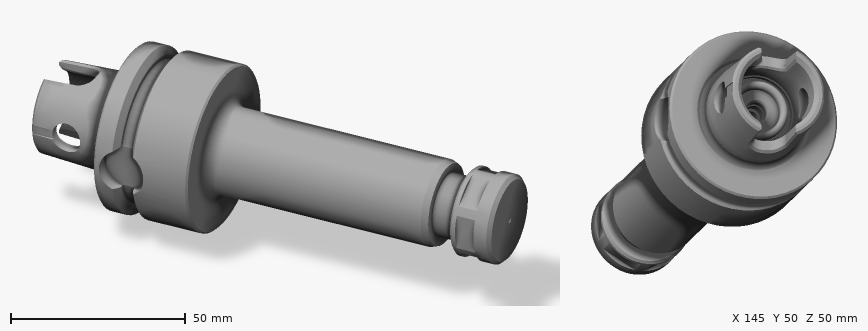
import cadquery as cq
import math

total_length = 145.0
through_bore_diameter = 1.7

shank_end_radius = 13.8
taper_slope = 0.05
shank_end_chamfer = 0.7
taper_end_x = 22.6
relief_radius = 14.8
relief_step = 0.3
relief_fillet = 1.5

flange_face_x = 25.0
flange_end_x = 54.7
flange_diameter = 50.0
flange_edge_chamfer = 0.6
face_recess_radius = 17.0
face_recess_depth = 0.5

groove_mouth_start_x = 30.6
groove_mouth_end_x = 37.3
groove_floor_width = 3.9
groove_floor_radius = 21.3
groove_wall_angle = 60.0

flat_diameter = 14.0
flat_distance = 20.3
flat_x = 33.8

neck_diameter = 26.0
neck_fillet = 2.9
neck_end_x = 125.0
neck_end_chamfer_length = 2.0
neck_end_chamfer_height = 0.7

spindle_diameter = 19.0

nut_start_x = 132.1
nut_radius = 13.3
nut_start_chamfer = 0.7
nut_end_chamfer = 1.2
nut_flat_start_x = 134.0
nut_flat_length = 5.8
nut_flat_width = 10.9
nut_flat_count = 6

cavity_radius = 10.9
cavity_depth = 21.9
cavity_mouth_chamfer = 1.2
inner_edge_chamfer = 0.6
floor_groove_outer_radius = 10.5
floor_groove_inner_radius = 9.4
floor_groove_depth = 1.5

tube_tip_x = 19.5
tube_outer_radius = 8.7
tube_inner_radius = 6.5
tube_floor_x = 21.9

coolant_steps = [(6.0, 2.9), (5.2, 5.8), (3.5, 8.7), (3.0, 11.6)]
coolant_mouth_diameter = 7.0

slot_width = 10.3
slot_end_x = 14.0
slot_corner_radius = 4.0
slot_chamfer = 0.7

cross_hole_diameter = 9.3
cross_hole_x = 11.3
keyway_width = 3.0
keyway_floor_distance = 13.5

flange_radius = flange_diameter / 2
neck_radius = neck_diameter / 2

ARC_MIDDLE = math.sqrt(0.5)
EDGE_MARGIN = 0.1


def shank_radius(x):
    """Outer radius of the taper at a distance x from its free end."""
    return shank_end_radius + taper_slope * x


def body():
    """Turned outside of the holder, without its grooves and cavities."""
    groove_middle_x = (groove_mouth_start_x + groove_mouth_end_x) / 2
    floor_start_x = groove_middle_x - groove_floor_width / 2
    floor_end_x = groove_middle_x + groove_floor_width / 2
    wall_run = floor_start_x - groove_mouth_start_x
    wall_foot_radius = flange_radius - wall_run * math.tan(math.radians(groove_wall_angle))
    recess_floor_x = flange_face_x + face_recess_depth
    relief_fillet_x = recess_floor_x - relief_fillet
    neck_fillet_rise = neck_fillet * (1 - ARC_MIDDLE)
    relief_rise = relief_fillet * (1 - ARC_MIDDLE)
    return (
        cq.Workplane("XY")
        .moveTo(0, 0)
        .lineTo(0, shank_end_radius)
        .lineTo(taper_end_x, shank_radius(taper_end_x))
        .lineTo(taper_end_x + relief_step, relief_radius)
        .lineTo(relief_fillet_x, relief_radius)
        .threePointArc(
            (relief_fillet_x + relief_fillet * ARC_MIDDLE, relief_radius + relief_rise),
            (recess_floor_x, relief_radius + relief_fillet),
        )
        .lineTo(flange_face_x, face_recess_radius)
        .lineTo(flange_face_x, flange_radius - flange_edge_chamfer)
        .lineTo(flange_face_x + flange_edge_chamfer, flange_radius)
        .lineTo(groove_mouth_start_x, flange_radius)
        .lineTo(floor_start_x, wall_foot_radius)
        .lineTo(floor_start_x, groove_floor_radius)
        .lineTo(floor_end_x, groove_floor_radius)
        .lineTo(floor_end_x, wall_foot_radius)
        .lineTo(groove_mouth_end_x, flange_radius)
        .lineTo(flange_end_x - flange_edge_chamfer, flange_radius)
        .lineTo(flange_end_x, flange_radius - flange_edge_chamfer)
        .lineTo(flange_end_x, neck_radius + neck_fillet)
        .threePointArc(
            (flange_end_x + neck_fillet_rise, neck_radius + neck_fillet_rise),
            (flange_end_x + neck_fillet, neck_radius),
        )
        .lineTo(neck_end_x - neck_end_chamfer_length, neck_radius)
        .lineTo(neck_end_x, neck_radius - neck_end_chamfer_height)
        .lineTo(neck_end_x, spindle_diameter / 2)
        .lineTo(nut_start_x, spindle_diameter / 2)
        .lineTo(nut_start_x, nut_radius - nut_start_chamfer)
        .lineTo(nut_start_x + nut_start_chamfer, nut_radius)
        .lineTo(total_length - nut_end_chamfer, nut_radius)
        .lineTo(total_length, nut_radius - nut_end_chamfer)
        .lineTo(total_length, 0)
        .close()
        .revolve(360, (0, 0), (1, 0))
    )


def shank_cavity():
    """Hollow of the shank: everything around and inside the tube."""
    groove_floor_x = cavity_depth + floor_groove_depth
    tube_end_radius = (tube_outer_radius - tube_inner_radius) / 2
    tube_end_x = tube_tip_x + tube_end_radius
    return (
        cq.Workplane("XY")
        .moveTo(0, 0)
        .lineTo(0, cavity_radius)
        .lineTo(cavity_depth, cavity_radius)
        .lineTo(cavity_depth, floor_groove_outer_radius)
        .lineTo(groove_floor_x, floor_groove_outer_radius)
        .lineTo(groove_floor_x, floor_groove_inner_radius)
        .lineTo(cavity_depth, floor_groove_inner_radius)
        .lineTo(cavity_depth, tube_outer_radius)
        .lineTo(tube_end_x, tube_outer_radius)
        .threePointArc(
            (tube_tip_x, tube_inner_radius + tube_end_radius),
            (tube_end_x, tube_inner_radius),
        )
        .lineTo(tube_floor_x, tube_inner_radius)
        .lineTo(tube_floor_x, 0)
        .close()
        .revolve(360, (0, 0), (1, 0))
    )


def round_hole(diameter, start_x, end_x):
    """Cylinder on the X axis."""
    return cq.Workplane("YZ", origin=(start_x, 0, 0)).circle(diameter / 2).extrude(end_x - start_x)


def bevel_ring(start_x, radius_at_start, length, radius_at_end):
    """Ring with a triangular section that bevels a round edge in the plane at start_x."""
    section = cq.Workplane("XY").moveTo(start_x, radius_at_start)
    section = section.lineTo(start_x + length, radius_at_end).lineTo(start_x, radius_at_end)
    return section.close().revolve(360, (0, 0), (1, 0))


def coolant_bore():
    """Narrow bore through the whole holder, widening in steps towards the tube."""
    bore = round_hole(through_bore_diameter, 0, total_length)
    for diameter, depth in coolant_steps:
        bore = bore.union(round_hole(diameter, tube_floor_x, tube_floor_x + depth))
    first_radius = coolant_steps[0][0] / 2
    mouth_radius = coolant_mouth_diameter / 2
    chamfer = mouth_radius - first_radius
    return bore.union(bevel_ring(tube_floor_x, mouth_radius, chamfer, first_radius))


def drive_slots():
    """Round-cornered slot through both walls of the shank, open at the free end."""
    return (
        cq.Workplane("XY")
        .rect(2 * slot_end_x, slot_width)
        .extrude(flange_radius, both=True)
        .edges("|Z")
        .fillet(slot_corner_radius)
    )


def cross_hole():
    """Hole along Y through both walls of the shank."""
    hole = cq.Workplane("XZ", origin=(cross_hole_x, 0, 0)).circle(cross_hole_diameter / 2)
    return hole.extrude(flange_radius, both=True)


def slotted_shank():
    """Body with the cavity, drive slots and cross hole, and the chamfers along their edges."""
    half_width = slot_width / 2 + EDGE_MARGIN
    slot_reach = slot_end_x + EDGE_MARGIN
    slot_inner_z = math.sqrt(cavity_radius**2 - (slot_width / 2) ** 2) - EDGE_MARGIN
    inner_limit = cavity_radius + EDGE_MARGIN

    shank = body().cut(drive_slots())
    for side in (1, -1):
        outer_rim = cq.selectors.BoxSelector(
            (0, -half_width, side * inner_limit), (slot_reach, half_width, side * flange_radius)
        )
        shank = shank.edges(outer_rim).chamfer(slot_chamfer)
    shank = shank.cut(shank_cavity()).cut(cross_hole())
    for side in (1, -1):
        slot_rim = cq.selectors.BoxSelector(
            (EDGE_MARGIN, -half_width, side * slot_inner_z),
            (slot_reach, half_width, side * inner_limit),
        )
        shank = shank.edges(slot_rim).chamfer(inner_edge_chamfer)
    return shank


def side_flats():
    """Round flat-bottomed recesses on the +Y and -Y sides of the flange."""
    cutters = cq.Workplane("XZ", origin=(flat_x, 0, 0)).circle(flat_diameter / 2)
    cutters = cutters.extrude(flange_diameter, both=True)
    core = cq.Workplane("XY").box(flange_diameter * 4, 2 * flat_distance, flange_diameter * 2)
    return cutters.cut(core)


def keyways():
    """Shallow grooves from the free end of the shank to the cross hole."""
    bar = cq.Workplane("XY").box(2 * cross_hole_x, 2 * flange_radius, keyway_width)
    core = cq.Workplane("XY").box(4 * cross_hole_x, 2 * keyway_floor_distance, 2 * keyway_width)
    return bar.cut(core)


def nut_flats():
    """Wrench flats spaced evenly around the clamping nut, one of them facing -Y."""
    flat_distance_from_axis = math.sqrt(nut_radius**2 - (nut_flat_width / 2) ** 2)
    cutter = cq.Workplane("XY").box(
        nut_flat_length, nut_radius, nut_flat_width, centered=(False, False, True)
    )
    cutter = cutter.translate((nut_flat_start_x, flat_distance_from_axis, 0))
    flats = cq.Workplane("XY")
    for index in range(nut_flat_count):
        angle = 360 / nut_flat_count * index
        flats = flats.add(cutter.rotate((0, 0, 0), (1, 0, 0), angle))
    return flats.combine()


outer_bevel = bevel_ring(
    0,
    shank_end_radius - shank_end_chamfer,
    shank_end_chamfer,
    shank_radius(shank_end_chamfer),
)
mouth_bevel = bevel_ring(
    0,
    cavity_radius + cavity_mouth_chamfer,
    cavity_mouth_chamfer,
    cavity_radius,
)

result = (
    slotted_shank()
    .cut(outer_bevel)
    .cut(mouth_bevel)
    .cut(coolant_bore())
    .cut(keyways())
    .cut(side_flats())
    .cut(nut_flats())
)